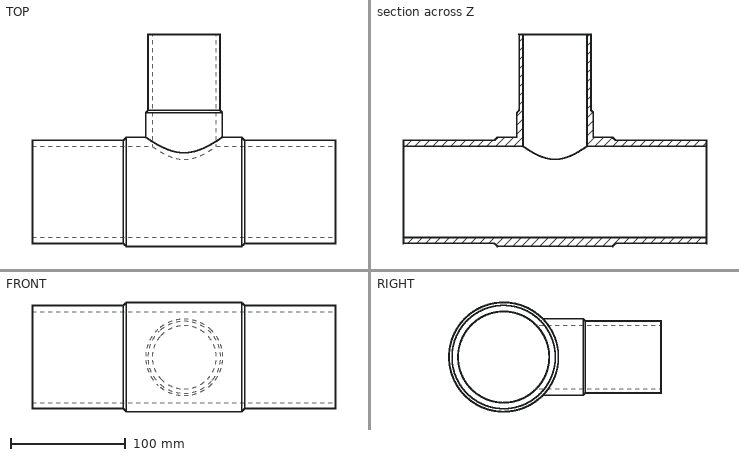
import cadquery as cq

run_length = 264.0
run_outer_diameter = 90.0
run_bore_diameter = 79.2
run_body_diameter = 95.4
run_body_length = 105.6

branch_reach = 137.0
branch_outer_diameter = 63.0
branch_bore_diameter = 55.4
branch_collar_diameter = 66.8
branch_collar_reach = 71.0

run_taper = (run_body_diameter - run_outer_diameter) / 2
branch_taper = (branch_collar_diameter - branch_outer_diameter) / 2


def cylinder_along_x(diameter, length):
    """Cylinder on the X axis, centred on the origin."""
    return cq.Workplane("YZ").circle(diameter / 2).extrude(length / 2, both=True)


def cylinder_along_y(diameter, length):
    """Cylinder on the Y axis, from the origin towards +Y."""
    return cq.Workplane("XZ").circle(diameter / 2).extrude(-length)


def make_run():
    """Solid run: a pipe with a thicker, chamfered middle body."""
    body = cylinder_along_x(run_body_diameter, run_body_length)
    body = body.faces("<X or >X").chamfer(run_taper)
    return cylinder_along_x(run_outer_diameter, run_length).union(body)


def make_branch():
    """Solid branch: a pipe with a thicker, chamfered collar at its root."""
    collar = cylinder_along_y(branch_collar_diameter, branch_collar_reach)
    collar = collar.faces(">Y").chamfer(branch_taper)
    return cylinder_along_y(branch_outer_diameter, branch_reach).union(collar)


run_bore = cylinder_along_x(run_bore_diameter, run_length)
branch_bore = cylinder_along_y(branch_bore_diameter, branch_reach)

result = make_run().union(make_branch()).cut(run_bore).cut(branch_bore)